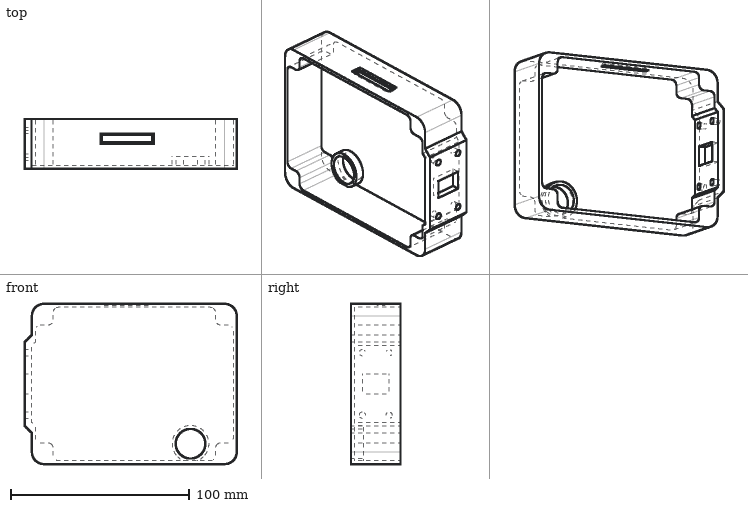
import cadquery as cq

body_length = 115.0
depth = 28.0
height = 90.0
corner_radius = 7.0
wall = 2.0

post_size = 10.0
cavity_fillet = 3.0

pad_rise = 4.0
pad_base_height = 55.0
pad_face_height = pad_base_height - 2 * pad_rise
pad_thickness = 4.0
pad_center_y = depth / 2
pad_center_z = height / 2

recess_depth = pad_rise + wall - pad_thickness

window_width = 15.0
window_height = 11.0
screw_diameter = 3.5
screw_spacing_y = 15.0
screw_spacing_z = 35.0

port_diameter = 16.5
port_length = 7.0
port_x = 89.0
port_z = 11.5
collar_diameter = port_diameter + 2 * wall

slot_length = 28.0
slot_width = 4.0
slot_chamfer = 1.0
slot_center_x = 53.5
slot_center_y = 17.0


def block(length, tall, y_start):
    """Box centred on the body in X and Z, running from y_start to the open side."""
    return (
        cq.Workplane("XZ", origin=(body_length / 2, y_start, height / 2))
        .rect(length, tall)
        .extrude(y_start - depth)
    )


def trapezoid(root_x, base_height, rise, y_start):
    """Prism with 45 degree flanks rising towards -X from root_x."""
    half_base = base_height / 2
    half_face = half_base - rise
    return (
        cq.Workplane("XZ", origin=(root_x, y_start, pad_center_z))
        .polyline([(0, -half_base), (0, half_base), (-rise, half_face), (-rise, -half_face)])
        .close()
        .extrude(y_start - depth)
    )


def outer_body():
    """Rounded block with the raised pad on its left side."""
    body = block(body_length, height, 0).edges("|Y").fillet(corner_radius)
    return body.union(trapezoid(0, pad_base_height, pad_rise, 0))


def cavity():
    """Cross-shaped hollow that leaves the corner posts, plus the recess behind the pad."""
    inner_length = body_length - 2 * wall
    inner_height = height - 2 * wall
    wide = block(inner_length, inner_height - 2 * post_size, wall)
    tall = block(inner_length - 2 * post_size, inner_height, wall)
    hollow = wide.union(tall).edges("|Y").fillet(cavity_fillet)
    return hollow.union(trapezoid(wall, pad_face_height, recess_depth, wall))


def port_cylinder(diameter):
    """Cylinder on the port axis, from the front face to the collar end."""
    return (
        cq.Workplane("XZ", origin=(port_x, 0, port_z))
        .circle(diameter / 2)
        .extrude(-port_length)
    )


def pad_openings():
    """Window and four screw holes through the pad."""
    plane = cq.Workplane("YZ", origin=(-pad_rise, pad_center_y, pad_center_z))
    window = plane.rect(window_width, window_height).extrude(pad_thickness)
    screws = (
        plane.rect(screw_spacing_y, screw_spacing_z, forConstruction=True)
        .vertices()
        .circle(screw_diameter / 2)
        .extrude(pad_thickness)
    )
    return window.union(screws)


def top_slot():
    """Straight slot through the top wall with a 45 degree chamfered mouth."""
    plane = cq.Workplane("XY", origin=(slot_center_x, slot_center_y, height))
    straight = plane.rect(slot_length, slot_width).extrude(-wall)
    mouth = (
        plane.rect(slot_length + 2 * slot_chamfer, slot_width + 2 * slot_chamfer)
        .workplane(offset=-slot_chamfer)
        .rect(slot_length, slot_width)
        .loft(ruled=True)
    )
    return straight.union(mouth)


shell = outer_body().cut(cavity()).union(port_cylinder(collar_diameter))
result = shell.cut(port_cylinder(port_diameter)).cut(pad_openings()).cut(top_slot())